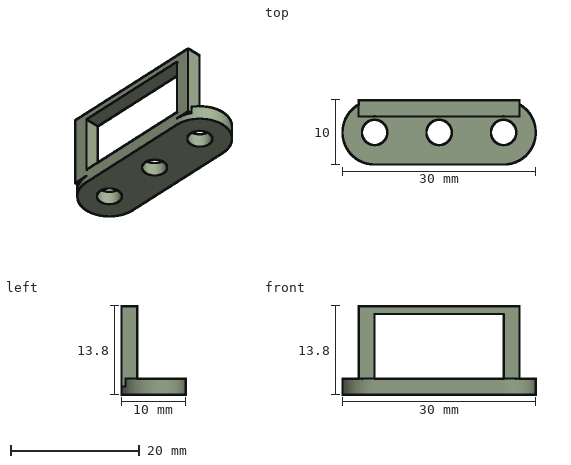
import cadquery as cq

plate_length = 30.0
plate_width = plate_length / 3
plate_thickness = plate_width / 4
end_center_spacing = plate_length - plate_width

hole_diameter = 3.9
hole_count = 3
hole_spacing = end_center_spacing / (hole_count - 1)

leg_size = plate_thickness
bar_height = leg_size / 2
frame_length = end_center_spacing + 2 * leg_size
opening_length = frame_length - 2 * leg_size
opening_height = plate_width
frame_embed = plate_thickness / 2
frame_height = frame_embed + opening_height + bar_height
frame_bottom = plate_thickness - frame_embed
frame_y = (plate_width - leg_size) / 2


def make_plate():
    return (
        cq.Workplane("XY")
        .slot2D(plate_length, plate_width)
        .extrude(plate_thickness)
    )


def make_frame():
    on_base = (True, True, False)
    frame = (
        cq.Workplane("XY")
        .box(frame_length, leg_size, frame_height, centered=on_base)
        .translate((0, frame_y, frame_bottom))
    )
    opening = (
        cq.Workplane("XY")
        .box(opening_length, leg_size, opening_height, centered=on_base)
        .translate((0, frame_y, plate_thickness))
    )
    return frame.cut(opening)


def make_holes():
    return (
        cq.Workplane("XY")
        .rarray(hole_spacing, 0.3, hole_count, 1)
        .circle(hole_diameter / 2)
        .extrude(plate_thickness)
    )


result = make_plate().cut(make_holes()).union(make_frame())